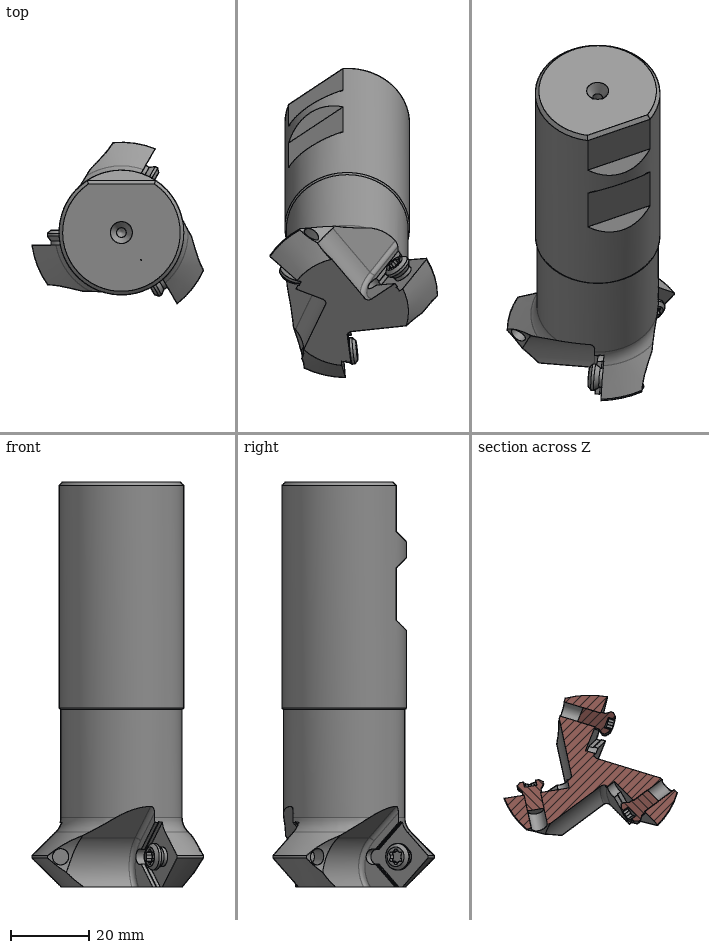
import cadquery as cq
import math

total_height = 103.9

shank_radius = 16.0
neck_radius = 15.6
shank_bottom_z = 45.5
shoulder_rise = 0.4
top_chamfer = 0.9
cutting_radius = 23.2
lower_tip_z = 7.5
tip_land_width = 0.6
neck_blend_radius = 5.2

flat_y = 13.4
upper_flat_bottom_z = 91.1
lower_flat_top_z = 81.9
lower_flat_bottom_z = 68.4

centre_sink_radius = 2.8
centre_hole_radius = 1.2
centre_sink_angle = 60.0
centre_hole_depth = 6.2
drill_point_angle = 120.0

tooth_count = 3
bench_y = -0.8
seat_y = -3.2
seat_corner_from_axis = 6.9
wall_relief = 0.2
corner_relief_from_axis = 8.0
corner_relief_radius = 2.0

gullet_radius = 10.4
gullet_axis_x = -14.9
gullet_axis_z = 5.3
gullet_fillet = 1.1

back_relief_radius = 9.3
back_relief_turn = 25.0
back_relief_floor = 11.6
back_relief_z = 6.9
back_relief_start = 6.2

screw_from_axis = 15.6
thread_radius = 2.1
screw_neck_radius = 2.5
head_radius = 3.4
head_top_y = 0.6
head_rim_top_y = -0.2
head_rim_bottom_y = -0.9
head_cone_bottom_y = -2.2
thread_end_y = -8.1
socket_core_radius = 1.6
socket_lobe_radius = 0.4
socket_lobe_count = 6
socket_depth = 1.6
socket_turn = 30.0

reach = 41.6
clearance = 1.0

upper_tip_z = lower_tip_z + tip_land_width
tip_z = lower_tip_z + tip_land_width / 2
bottom_radius = cutting_radius - lower_tip_z
cone_angle = math.radians(45)
sin_45 = math.sin(cone_angle)
tooth_pitch = 360 / tooth_count


def around_axis(shape, index):
    """Copy a shape of the first tooth to the tooth with the given index."""
    return shape.rotate((0, 0, 0), (0, 0, 1), index * tooth_pitch)


def turned_blank():
    blend_drop = neck_blend_radius * sin_45
    blend_widening = neck_blend_radius * (1 - sin_45)
    cone_top_radius = neck_radius + blend_widening
    cone_top_z = upper_tip_z + cutting_radius - cone_top_radius
    neck_bottom_z = cone_top_z + blend_drop
    half_angle = cone_angle / 2
    blend_middle = (
        neck_radius + neck_blend_radius * (1 - math.cos(half_angle)),
        neck_bottom_z - neck_blend_radius * math.sin(half_angle),
    )
    return (
        cq.Workplane("XZ")
        .moveTo(0, 0)
        .lineTo(bottom_radius, 0)
        .lineTo(cutting_radius, lower_tip_z)
        .lineTo(cutting_radius, upper_tip_z)
        .lineTo(cone_top_radius, cone_top_z)
        .threePointArc(blend_middle, (neck_radius, neck_bottom_z))
        .lineTo(neck_radius, shank_bottom_z)
        .lineTo(shank_radius, shank_bottom_z + shoulder_rise)
        .lineTo(shank_radius, total_height)
        .lineTo(0, total_height)
        .close()
        .revolve(360, (0, 0, 0), (0, 1, 0))
    )


def clamping_flats():
    """Two flats with 45 degree run-outs, cut across the shank along X."""
    outer_y = shank_radius + clearance
    runout = outer_y - flat_y
    clear_z = total_height + clearance
    upper = [
        (flat_y, upper_flat_bottom_z),
        (flat_y, clear_z),
        (outer_y, clear_z),
        (outer_y, upper_flat_bottom_z - runout),
    ]
    lower = [
        (flat_y, lower_flat_bottom_z),
        (flat_y, lower_flat_top_z),
        (outer_y, lower_flat_top_z + runout),
        (outer_y, lower_flat_bottom_z - runout),
    ]
    plane = cq.Workplane("YZ")
    upper_cut = plane.polyline(upper).close().extrude(shank_radius, both=True)
    lower_cut = plane.polyline(lower).close().extrude(shank_radius, both=True)
    return upper_cut.union(lower_cut)


def centre_hole():
    sink_depth = (centre_sink_radius - centre_hole_radius) / math.tan(math.radians(centre_sink_angle / 2))
    point_depth = centre_hole_radius / math.tan(math.radians(drill_point_angle / 2))
    outline = [
        (0, total_height),
        (centre_sink_radius, total_height),
        (centre_hole_radius, total_height - sink_depth),
        (centre_hole_radius, total_height - centre_hole_depth),
        (0, total_height - centre_hole_depth - point_depth),
    ]
    return cq.Workplane("XZ").polyline(outline).close().revolve(360, (0, 0, 0), (0, 1, 0))


def gullet():
    """Round-bottomed groove with a 45 degree overhang, running along +Y from the bench."""
    overhang_x = gullet_axis_x + gullet_radius * sin_45
    overhang_z = gullet_axis_z + gullet_radius * sin_45
    below_z = -clearance
    below_x = gullet_axis_x + math.sqrt(gullet_radius**2 - (gullet_axis_z - below_z) ** 2)
    return (
        cq.Workplane("XZ", origin=(0, bench_y, 0))
        .moveTo(-reach, below_z)
        .lineTo(below_x, below_z)
        .threePointArc((gullet_axis_x + gullet_radius, gullet_axis_z), (overhang_x, overhang_z))
        .lineTo(-reach, overhang_z + reach + overhang_x)
        .close()
        .extrude(-reach)
        .faces("<Y")
        .edges()
        .fillet(gullet_fillet)
    )


def back_relief():
    """Cylinder that opens the gullet outward across the back of the next tooth."""
    turn = math.radians(back_relief_turn)
    along = cq.Vector(math.sin(turn), math.cos(turn), 0)
    outward = cq.Vector(-math.cos(turn), math.sin(turn), 0)
    start = along * back_relief_start + outward * (back_relief_floor + back_relief_radius)
    start = start + cq.Vector(0, 0, back_relief_z)
    return cq.Workplane(cq.Solid.makeCylinder(back_relief_radius, reach, start, along))


def seat_notch(corner_x, floor_y, top_y):
    """Right-angled notch whose corner points to the tool axis."""
    outline = [
        (corner_x, tip_z),
        (corner_x - reach, tip_z + reach),
        (corner_x - reach, tip_z - reach),
    ]
    plane = cq.Workplane("XZ", origin=(0, floor_y, 0))
    return plane.polyline(outline).close().extrude(floor_y - top_y)


def insert_seat():
    clear_y = bench_y + gullet_fillet
    middle_y = (seat_y + bench_y) / 2
    upper_notch = seat_notch(-seat_corner_from_axis, seat_y, clear_y)
    relief_corner_x = -seat_corner_from_axis + wall_relief / sin_45
    lower_notch = seat_notch(relief_corner_x, seat_y, middle_y)
    corner_relief = (
        cq.Workplane("XZ", origin=(-corner_relief_from_axis, seat_y, tip_z))
        .circle(corner_relief_radius)
        .extrude(seat_y - clear_y)
    )
    return upper_notch.union(lower_notch).union(corner_relief)


def screw_hole():
    plane = cq.Workplane("XZ", origin=(-screw_from_axis, seat_y, tip_z))
    return plane.circle(thread_radius).extrude(reach / 2)


def make_holder():
    body = turned_blank().cut(clamping_flats())
    body = body.faces(">Z").edges().chamfer(top_chamfer)
    body = body.cut(centre_hole())
    tooth_cuts = [gullet(), back_relief(), insert_seat(), screw_hole()]
    for index in range(tooth_count):
        for tooth_cut in tooth_cuts:
            body = body.cut(around_axis(tooth_cut, index))
    return body


def screw_socket():
    """Six-lobed driver socket in the head."""
    plane = cq.Workplane("XZ", origin=(-screw_from_axis, head_top_y, tip_z))
    core = plane.circle(socket_core_radius).extrude(socket_depth)
    lobes = (
        plane.polarArray(socket_core_radius, socket_turn, 360, socket_lobe_count)
        .circle(socket_lobe_radius)
        .extrude(socket_depth)
    )
    return core.union(lobes)


def make_screw():
    """Screw turned about an axis along Y, its thread ending inside the tooth."""
    outline = [
        (0, thread_end_y),
        (thread_radius, thread_end_y),
        (thread_radius, seat_y),
        (screw_neck_radius, seat_y),
        (screw_neck_radius, head_cone_bottom_y),
        (head_radius, head_rim_bottom_y),
        (head_radius, head_rim_top_y),
        (screw_neck_radius, head_top_y),
        (0, head_top_y),
    ]
    plane = cq.Workplane("XY", origin=(-screw_from_axis, 0, tip_z))
    turned = plane.polyline(outline).close().revolve(360, (0, 0, 0), (0, 1, 0))
    return turned.cut(screw_socket())


holder = make_holder()
screw = make_screw()
screws = [around_axis(screw, index) for index in range(tooth_count)]

result = cq.Compound.makeCompound([holder.val(), *[item.val() for item in screws]])